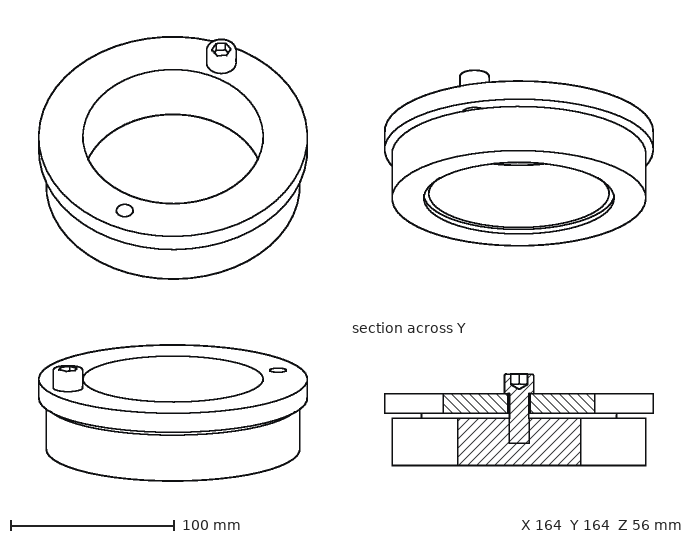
import cadquery as cq
import math

base_diameter = 155.0
base_height = 29.0

flange_diameter = 164.0
flange_thickness = 12.0
flange_gap = 3.0
bore_diameter = 110.0
sleeve_end_height = 3.0
cone_diameter_under_flange = 119.5
taper_angle = 3.0

bolt_circle_radius = 67.5
clearance_hole_diameter = 13.5
jacking_hole_diameter = 10.11

shank_diameter = 12.0
shank_length = 30.0
head_diameter = 1.5 * shank_diameter
head_height = shank_diameter
head_edge_radius = 1.2
socket_across_flats = 10.0
socket_depth = 6.0
socket_point_angle = 120.0

flange_bottom = base_height + flange_gap
flange_top = flange_bottom + flange_thickness
shank_end = flange_top - shank_length


def cone_radius(height):
    """Radius of the shared cone surface at a height above Z = 0."""
    drop = flange_bottom - height
    return cone_diameter_under_flange / 2 - drop * math.tan(math.radians(taper_angle))


def cylinder(diameter, bottom, top, y=0.0):
    """Vertical cylinder between two heights."""
    return cq.Workplane("XY", origin=(0, y, bottom)).circle(diameter / 2).extrude(top - bottom)


def make_base_ring():
    """Ring with a conical bore and a blind hole for the screw shank."""
    profile = [
        (cone_radius(0), 0),
        (base_diameter / 2, 0),
        (base_diameter / 2, base_height),
        (cone_radius(base_height), base_height),
    ]
    ring = cq.Workplane("XZ").polyline(profile).close().revolve(360, (0, 0), (0, 1))
    return ring.cut(cylinder(shank_diameter, shank_end, base_height, bolt_circle_radius))


def make_flange():
    """Flange and tapered sleeve in one piece, with the clearance and jacking holes."""
    profile = [
        (bore_diameter / 2, sleeve_end_height),
        (cone_radius(sleeve_end_height), sleeve_end_height),
        (cone_radius(flange_bottom), flange_bottom),
        (flange_diameter / 2, flange_bottom),
        (flange_diameter / 2, flange_top),
        (bore_diameter / 2, flange_top),
    ]
    flange = cq.Workplane("XZ").polyline(profile).close().revolve(360, (0, 0), (0, 1))
    clearance_hole = cylinder(clearance_hole_diameter, flange_bottom, flange_top, bolt_circle_radius)
    jacking_hole = cylinder(jacking_hole_diameter, flange_bottom, flange_top, -bolt_circle_radius)
    return flange.cut(clearance_hole).cut(jacking_hole)


def make_hex_socket(head_top):
    """Hexagonal socket, corners along Y, whose floor is a drill-point cone."""
    corner_radius = socket_across_flats / math.sqrt(3)
    point_depth = corner_radius / math.tan(math.radians(socket_point_angle / 2))
    floor = head_top - socket_depth
    hexagon = (
        cq.Workplane("XY", origin=(0, 0, head_top))
        .polygon(6, 2 * corner_radius)
        .extrude(-socket_depth - point_depth)
        .rotate((0, 0, 0), (0, 0, 1), 90)
    )
    drill_profile = [
        (0, floor - point_depth),
        (corner_radius, floor),
        (corner_radius, head_top),
        (0, head_top),
    ]
    drill = cq.Workplane("XZ").polyline(drill_profile).close().revolve(360, (0, 0), (0, 1))
    return hexagon.intersect(drill).translate((0, bolt_circle_radius, 0))


def make_screw():
    """Cap screw whose head rests on the flange."""
    head_top = flange_top + head_height
    head = cylinder(head_diameter, flange_top, head_top, bolt_circle_radius)
    head = head.faces(">Z").edges().fillet(head_edge_radius)
    shank = cylinder(shank_diameter, shank_end, flange_top, bolt_circle_radius)
    return head.union(shank).cut(make_hex_socket(head_top))


base_ring = make_base_ring()
flange = make_flange()
screw = make_screw()

result = cq.Compound.makeCompound([base_ring.val(), flange.val(), screw.val()])